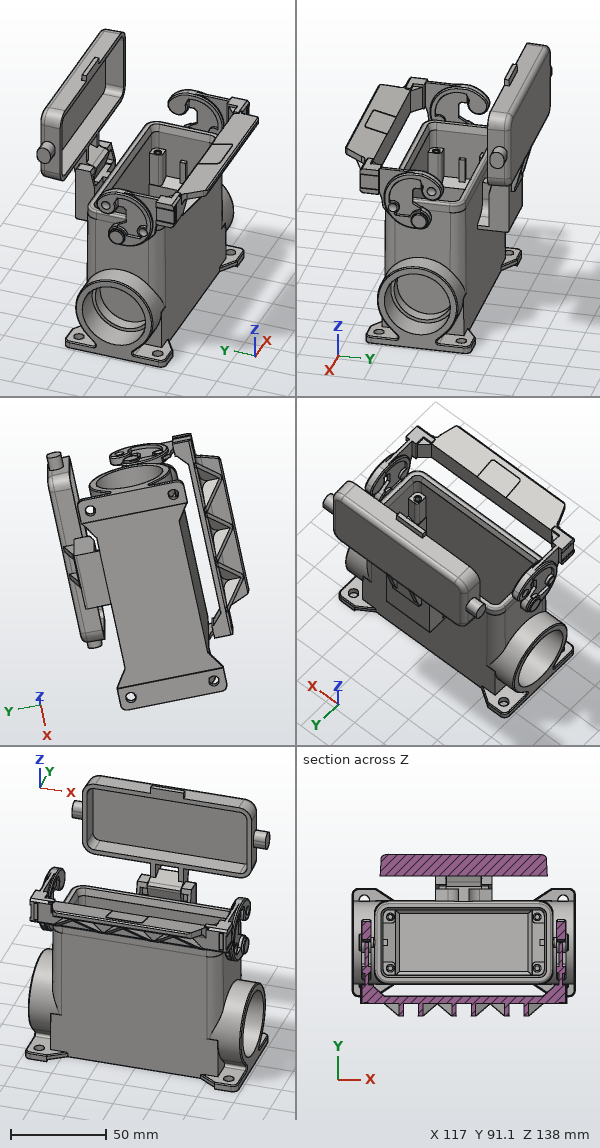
import cadquery as cq
import math


BODY_HALF_X = 46.6
BODY_HALF_Y = 21.5
BODY_TOP = 80.7
BODY_BOTTOM = 1.2
BODY_CORNER = 7.0
BODY_DRAFT = 0.43
RIM_HEIGHT = 4.9
RIM_DRAFT = 1.0
RIM_EDGE_RADIUS = 1.1
BASE_HALF_X = 46.1
DRAFT_SLOPE = math.tan(math.radians(BODY_DRAFT))

ENTRY_RADIUS = 21.75
ENTRY_Z = 25.9
ENTRY_END = 58.5
ENTRY_START = 39.0
BORE_RADIUS = 17.8
BORE_DEPTH = 14.1
KNOCKOUT_RADIUS = 16.0
KNOCKOUT_DEPTH = 21.0
EAR_HALF_Y = 28.4
EAR_TOP = 3.9
EAR_CORNER = 3.3
EAR_INNER_X = 35.6
EAR_CHAMFER = 0.6
EAR_HOLE_X = 52.1
EAR_HOLE_Y = 22.2
EAR_HOLE_RADIUS = 2.7
NECK_RADIUS = 1.2

MOUTH_HALF_X = 43.4
MOUTH_HALF_Y = 18.3
CAVITY_HALF_X = 42.2
CAVITY_HALF_Y = 17.2
CAVITY_CORNER = 3.0
MOUTH_HEIGHT = 4.0
POCKET_HALF_X = 35.8
POCKET_TOP = 47.0
LEDGE_TOP = 50.0
FLOOR_BEVEL = 2.0
FLOOR_Z = 5.0
POST_INNER_X = 36.0
POST_INNER_Y = 10.2
POST_TOP = 66.4
POST_CORNER = 1.8
POST_HOLE_X = 38.5
POST_HOLE_Y = 13.45
POST_HOLE_RADIUS = 1.3
POST_SINK_RADIUS = 2.0
POST_SINK_DEPTH = 0.5
POST_HOLE_DEPTH = 12.0
KEY_HALF_WIDTH = 1.6
KEY_INNER_X = 40.0
KEY_TOP = 62.0

LID_FRONT = 34.9
LID_BACK = 46.9
LID_HALF_X = 46.6
LID_BOTTOM = 91.8
LID_TOP = 134.6
LID_CORNER = 7.2
LID_DRAFT = 2.0
LID_EDGE_RADIUS = 3.0
LID_WALL = 2.7
LID_CAVITY_DEPTH = 10.0
LID_CAVITY_CORNER = 4.0
LID_TAB_TOP = 137.99
LID_TAB_HALF_X = 9.1
LID_TAB_THICKNESS = 2.4
LID_TAB_ROOT = 3.0
LID_PIN_END = 53.2
LID_PIN_WIDTH = 7.5
LID_PIN_HEIGHT = 9.5
LID_PIN_Y = 41.65
LID_PIN_Z = 113.1

HINGE_HALF_X = 14.9
HINGE_GAP_HALF_X = 9.4
HINGE_BACK = 38.8
HINGE_FRONT = 28.0
HINGE_TOP_FRONT = 30.4
HINGE_TOP = 82.5
HINGE_BOTTOM = 51.2
HINGE_SLOPE_Z = 72.6
HINGE_CORNER = 1.2
HINGE_RIB_HALF_X = 2.8
HINGE_RIB_ARC_TOP = 63.0
HINGE_RIB_ARC_X = 8.3
HINGE_RIB_ARC_BOTTOM = 55.5
HINGE_RIB_EDGE_Z = 53.4
HINGE_SOCKET_HALF_X = 13.1
HINGE_SOCKET_BACK = 33.5
HINGE_SOCKET_BOTTOM = 73.2
HINGE_SOCKET_TOP = 79.5
HINGE_PIN_Y = 35.5
HINGE_PIN_Z = 78.0
HINGE_PIN_RADIUS = 1.8
ARM_INNER_X = 6.2
ARM_BOTTOM = 74.4
WEB_NOSE_Y = 29.3
WEB_NOSE_Z = 81.4
WEB_NOSE_HEIGHT = 1.5

LEVER_TOP = 99.9
PIVOT_Z = 72.9
PIVOT_RADIUS = 5.4
HOOK_OUTER_X = 53.5
HOOK_INNER_X = 48.5
PLATE_OUTER_X = 51.8
PLATE_INNER_X = 49.9
HOOK_Y = -3.3
HOOK_RADIUS = (LEVER_TOP - PIVOT_Z + PIVOT_RADIUS) / 2
HOOK_CHAMFER = 0.7
HOOK_Z = LEVER_TOP - HOOK_RADIUS
HOOK_RECESS_RADIUS = 13.3
HOOK_RECESS_BOTTOM = 74.3
HEAD_Y = 6.45
HEAD_Z = 90.6
HEAD_RADIUS = 5.55
HEAD_CREST_Y = 1.1
MOUTH_FLOOR_Y = -4.3
MOUTH_BEVEL = 1.6
MOUTH_LIP_Y = 0.3
SLIT_TOP = 96.2
STUD_Y = -14.5
STUD_Z = 78.7
STUD_RADIUS = 3.3
DIMPLE_RADIUS = 2.4
DIMPLE_DEPTH = 1.0
KNOB_RADIUS = 4.4
KNOB_END = 54.9
KNOB_CHAMFER = 0.5
WASHER_RADIUS = 2.7
WASHER_INNER_X = 47.4
PIVOT_PIN_RADIUS = 1.4

BAR_BACK = -22.1
BAR_FRONT = -32.0
BAR_BOTTOM = 85.8
BAR_HALF_X = 54.2
BAR_END_INNER_X = 47.2
BAR_WALL_BACK = -28.1
BAR_CORNER_DROP = 1.5
BAR_CHAMFER = 1.2
BAR_GROOVE_BOTTOM = 88.4
BAR_GROOVE_TOP = 96.5
BAR_GROOVE_DEPTH = 0.6
BAR_SLOT_X = 51.0
BAR_SLOT_WIDTH = 2.1
BAR_SLOT_DEPTH = 0.4
BAR_SLOT_MARGIN = 2.0
GRIP_FRONT = -44.22
GRIP_FRONT_Z = 102.6
GRIP_SLOPE = 0.235
GRIP_THICKNESS = 3.6
GRIP_ROOT_HALF_X = 41.5
GRIP_FRONT_HALF_X = 37.5
GRIP_CORNER = 2.5
GRIP_EDGE = 0.8
GRIP_BLEND = 2.5
GRIP_FLARE_INSET = 0.4
GRIP_PANEL_HALF_X = 10.0
GRIP_PANEL_FRONT = -40.4
GRIP_PANEL_CORNER = 1.5
GRIP_PANEL_DEPTH = 0.3
RIB_PEAK_PITCH = 27.7
RIB_PEAK_Z = 98.3
RIB_FOOT_OFFSET = 12.7
RIB_FOOT_Z = 86.2
RIB_HALF_WIDTH = 1.3


def box(x0, x1, y0, y1, z0, z1):
    """Axis-aligned block between two opposite corners."""
    return cq.Workplane("XY").box(x1 - x0, y1 - y0, z1 - z0, centered=False).translate((x0, y0, z0))


def along_x(profile, x0, x1):
    """Extrude a closed YZ outline from x0 to x1."""
    return profile.extrude(x1 - x0).translate((x0, 0, 0))


def yz_polygon(points, x0, x1):
    """Prism along X over a YZ polygon."""
    return along_x(cq.Workplane("YZ").polyline(points).close(), x0, x1)


def x_cylinder(y, z, radius, x0, x1):
    """Round bar along X."""
    return along_x(cq.Workplane("YZ").center(y, z).circle(radius), x0, x1)


def both_ends(solid):
    """A solid together with its mirror image across the YZ plane."""
    return solid.union(solid.mirror("YZ"))


def rounded_rectangle(half_x, half_y, corner, z):
    """Rounded rectangle, centred on the Z axis, at a height z."""
    sketch = cq.Sketch().rect(2 * half_x, 2 * half_y).vertices().fillet(corner)
    return cq.Workplane("XY", origin=(0, 0, z)).placeSketch(sketch)


def shell_body():
    """Solid body: square-cornered base, rounded upper part and rounded rim."""
    rim_bottom = BODY_TOP - RIM_HEIGHT
    growth = (BODY_TOP - ENTRY_Z) * DRAFT_SLOPE
    base_growth = (BODY_TOP - BODY_BOTTOM) * DRAFT_SLOPE
    upper = rounded_rectangle(BODY_HALF_X + growth, BODY_HALF_Y + growth, BODY_CORNER, ENTRY_Z)
    upper = upper.extrude(rim_bottom - ENTRY_Z, taper=BODY_DRAFT)
    rim_growth = RIM_HEIGHT * DRAFT_SLOPE
    rim = rounded_rectangle(BODY_HALF_X + rim_growth, BODY_HALF_Y + rim_growth, BODY_CORNER, rim_bottom)
    rim = rim.extrude(RIM_HEIGHT, taper=RIM_DRAFT).faces(">Z").edges().fillet(RIM_EDGE_RADIUS)
    base = cq.Workplane("XY", origin=(0, 0, BODY_BOTTOM)).rect(
        2 * BASE_HALF_X, 2 * (BODY_HALF_Y + base_growth)
    )
    base = base.extrude(ENTRY_Z - BODY_BOTTOM, taper=BODY_DRAFT)
    return base.union(upper).union(rim)


def cable_entry():
    """Round entry at +X on its foot, with two mounting ears."""
    tangent = ENTRY_RADIUS * math.sqrt(0.5)
    tangent_z = ENTRY_Z - tangent
    neck_y = tangent - (tangent_z - EAR_TOP)
    profile = (
        cq.Workplane("YZ")
        .moveTo(-EAR_HALF_Y, 0)
        .lineTo(EAR_HALF_Y, 0)
        .lineTo(EAR_HALF_Y, EAR_TOP)
        .lineTo(neck_y, EAR_TOP)
        .lineTo(tangent, tangent_z)
        .threePointArc((0, ENTRY_Z + ENTRY_RADIUS), (-tangent, tangent_z))
        .lineTo(-neck_y, EAR_TOP)
        .lineTo(-EAR_HALF_Y, EAR_TOP)
        .close()
    )
    entry = along_x(profile, BASE_HALF_X, ENTRY_END)
    neck = cq.selectors.BoxSelector(
        (BASE_HALF_X, -neck_y - 1, EAR_TOP - 1), (ENTRY_END, neck_y + 1, EAR_TOP + 1)
    )
    entry = entry.edges("|X").edges(neck).fillet(NECK_RADIUS)
    entry = entry.faces(">X").edges("|Z").fillet(EAR_CORNER)
    entry = entry.faces(">X").edges("not <Z").chamfer(EAR_CHAMFER)
    entry = entry.union(x_cylinder(0, ENTRY_Z, ENTRY_RADIUS, ENTRY_START, BASE_HALF_X))
    for side in (1, -1):
        gusset = (
            cq.Workplane("XY", origin=(0, 0, BODY_BOTTOM))
            .polyline(
                [
                    (EAR_INNER_X, 0),
                    (EAR_INNER_X, side * BODY_HALF_Y),
                    (BASE_HALF_X, side * EAR_HALF_Y),
                    (BASE_HALF_X, 0),
                ]
            )
            .close()
            .extrude(EAR_TOP - BODY_BOTTOM)
        )
        slant = cq.selectors.NearestToPointSelector(
            ((EAR_INNER_X + BASE_HALF_X) / 2, side * (BODY_HALF_Y + EAR_HALF_Y) / 2, EAR_TOP)
        )
        entry = entry.union(gusset.edges(slant).chamfer(EAR_CHAMFER))
    return entry


def entry_bores():
    """Stepped blind bores of both entries; the thin end walls close them off."""
    step_x = ENTRY_END - BORE_DEPTH
    end_x = ENTRY_END - KNOCKOUT_DEPTH
    bore = x_cylinder(0, ENTRY_Z, BORE_RADIUS, step_x, ENTRY_END)
    return both_ends(bore.union(x_cylinder(0, ENTRY_Z, KNOCKOUT_RADIUS, end_x, ENTRY_END)))


def ear_holes():
    """Four vertical screw holes through the ears."""
    centres = [(i * EAR_HOLE_X, j * EAR_HOLE_Y) for i in (-1, 1) for j in (-1, 1)]
    return cq.Workplane("XY").pushPoints(centres).circle(EAR_HOLE_RADIUS).extrude(EAR_TOP)


def cavity():
    """Interior: flared mouth, straight upper part, sloping end ledges and a bevelled lower pocket."""
    mouth_draft = math.degrees(math.atan((MOUTH_HALF_X - CAVITY_HALF_X) / MOUTH_HEIGHT))
    mouth = rounded_rectangle(MOUTH_HALF_X, MOUTH_HALF_Y, CAVITY_CORNER + 1, BODY_TOP)
    mouth = mouth.extrude(-MOUTH_HEIGHT, taper=mouth_draft)
    upper = rounded_rectangle(CAVITY_HALF_X, CAVITY_HALF_Y, CAVITY_CORNER, POCKET_TOP)
    upper = upper.extrude(BODY_TOP - MOUTH_HEIGHT - POCKET_TOP)
    ledge = (
        cq.Workplane("XZ")
        .polyline(
            [
                (POCKET_HALF_X, POCKET_TOP),
                (CAVITY_HALF_X, LEDGE_TOP),
                (CAVITY_HALF_X, POCKET_TOP),
            ]
        )
        .close()
        .extrude(CAVITY_HALF_Y, both=True)
    )
    pocket = box(
        -POCKET_HALF_X, POCKET_HALF_X, -CAVITY_HALF_Y, CAVITY_HALF_Y, FLOOR_Z, POCKET_TOP
    )
    pocket = pocket.faces("<Z").edges().chamfer(FLOOR_BEVEL)
    return mouth.union(upper.cut(both_ends(ledge))).union(pocket)


def cavity_posts():
    """Four screw posts in the cavity corners and a coding key on each end wall."""
    posts = cq.Workplane("XY")
    for i in (-1, 1):
        key_x = sorted((i * KEY_INNER_X, i * (CAVITY_HALF_X + 1)))
        posts = posts.union(box(*key_x, -KEY_HALF_WIDTH, KEY_HALF_WIDTH, POCKET_TOP, KEY_TOP))
        for j in (-1, 1):
            xs = sorted((i * POST_INNER_X, i * (CAVITY_HALF_X + 1)))
            ys = sorted((j * POST_INNER_Y, j * (CAVITY_HALF_Y + 1)))
            post = box(*xs, *ys, POCKET_TOP, POST_TOP)
            inner = cq.selectors.NearestToPointSelector(
                (i * POST_INNER_X, j * POST_INNER_Y, (POCKET_TOP + POST_TOP) / 2)
            )
            post = post.edges("|Z").edges(inner).fillet(POST_CORNER)
            hole = cq.Workplane("XY", origin=(i * POST_HOLE_X, j * POST_HOLE_Y, POST_TOP))
            post = post.cut(hole.circle(POST_HOLE_RADIUS).extrude(-POST_HOLE_DEPTH))
            post = post.cut(hole.circle(POST_SINK_RADIUS).extrude(-POST_SINK_DEPTH))
            posts = posts.union(post)
    return posts


def lid():
    """Shallow cap, open toward -Y, with a top tab and two oblong side pins."""
    height = LID_TOP - LID_BOTTOM
    mid_z = (LID_TOP + LID_BOTTOM) / 2
    outer = cq.Sketch().rect(2 * LID_HALF_X, height).vertices().fillet(LID_CORNER)
    front = cq.Workplane("XZ", origin=(0, LID_FRONT, mid_z))
    cap = front.placeSketch(outer).extrude(-(LID_BACK - LID_FRONT), taper=LID_DRAFT)
    cap = cap.faces(">Y").edges().fillet(LID_EDGE_RADIUS)
    cap = cap.union(
        yz_polygon(
            [
                (LID_FRONT, LID_TOP - LID_WALL),
                (LID_FRONT, LID_TAB_TOP),
                (LID_FRONT + LID_TAB_THICKNESS, LID_TAB_TOP),
                (LID_FRONT + LID_TAB_ROOT, LID_TOP - LID_WALL),
            ],
            -LID_TAB_HALF_X,
            LID_TAB_HALF_X,
        )
    )
    pins = cq.Workplane("YZ").center(LID_PIN_Y, LID_PIN_Z).slot2D(LID_PIN_HEIGHT, LID_PIN_WIDTH, 90)
    cap = cap.union(along_x(pins, -LID_PIN_END, LID_PIN_END))
    inner = cq.Sketch().rect(2 * (LID_HALF_X - LID_WALL), height - 2 * LID_WALL)
    inner = inner.vertices().fillet(LID_CAVITY_CORNER)
    return cap.cut(front.placeSketch(inner).extrude(-LID_CAVITY_DEPTH))


def lid_arms():
    """Two hinge arms under the lid, joined by a nosed web and carried on the hinge pin."""
    arm = yz_polygon(
        [
            (LID_FRONT, LID_BOTTOM + 1),
            (LID_FRONT, ARM_BOTTOM),
            (40.3, ARM_BOTTOM),
            (41.2, 76.3),
            (46.2, 94.5),
            (44.0, 94.5),
            (44.0, LID_BOTTOM + 1),
        ],
        ARM_INNER_X,
        LID_TAB_HALF_X,
    )
    web = yz_polygon(
        [
            (WEB_NOSE_Y, WEB_NOSE_Z - WEB_NOSE_HEIGHT),
            (WEB_NOSE_Y, WEB_NOSE_Z),
            (31.7, 82.3),
            (40.5, 86.0),
            (40.5, HINGE_SLOPE_Z),
            (31.3, HINGE_SLOPE_Z),
        ],
        -LID_TAB_HALF_X,
        LID_TAB_HALF_X,
    )
    pin = x_cylinder(HINGE_PIN_Y, HINGE_PIN_Z, HINGE_PIN_RADIUS, -HINGE_HALF_X + 1, HINGE_HALF_X - 1)
    return both_ends(arm).union(web).union(pin)


def hinge_bracket():
    """Forked bracket on the back of the body with a flared centre rib."""
    block = yz_polygon(
        [
            (HINGE_BACK, HINGE_BOTTOM),
            (HINGE_BACK, HINGE_TOP),
            (HINGE_TOP_FRONT, HINGE_TOP),
            (HINGE_FRONT, HINGE_SLOPE_Z),
            (HINGE_FRONT, HINGE_BOTTOM),
        ],
        -HINGE_HALF_X,
        HINGE_HALF_X,
    )
    block = block.faces(">Y").edges("|X").fillet(HINGE_CORNER)
    gap = box(
        -HINGE_GAP_HALF_X, HINGE_GAP_HALF_X, HINGE_FRONT, HINGE_BACK, HINGE_SLOPE_Z, HINGE_TOP
    )
    rib = (
        cq.Workplane("XZ")
        .moveTo(0, HINGE_BOTTOM)
        .lineTo(0, HINGE_SLOPE_Z)
        .lineTo(HINGE_RIB_HALF_X, HINGE_SLOPE_Z)
        .lineTo(HINGE_RIB_HALF_X, HINGE_RIB_ARC_TOP)
        .tangentArcPoint((HINGE_RIB_ARC_X, HINGE_RIB_ARC_BOTTOM), relative=False)
        .lineTo(HINGE_HALF_X, HINGE_RIB_EDGE_Z)
        .lineTo(HINGE_HALF_X, HINGE_BOTTOM)
        .close()
        .extrude(-(HINGE_FRONT - BODY_HALF_Y + 1))
        .translate((0, BODY_HALF_Y - 1, 0))
    )
    sockets = box(
        -HINGE_SOCKET_HALF_X, HINGE_SOCKET_HALF_X,
        HINGE_FRONT, HINGE_SOCKET_BACK,
        HINGE_SOCKET_BOTTOM, HINGE_SOCKET_TOP,
    )
    return block.cut(gap).cut(sockets).union(both_ends(rib))


def hook_outline():
    """C-shaped side outline of the lever hook around its pivot."""
    tangent_angle = math.radians(60)
    left = (PIVOT_RADIUS * math.cos(tangent_angle), PIVOT_Z + PIVOT_RADIUS * math.sin(tangent_angle))
    mouth_slope = 1 / math.tan(tangent_angle)
    mouth_bottom = left[1] + (left[0] - MOUTH_FLOOR_Y) * mouth_slope
    head_exit = math.radians(150)
    head_entry = math.radians(40)
    return (
        cq.Workplane("YZ")
        .moveTo(HOOK_Y, LEVER_TOP)
        .threePointArc((HOOK_Y - HOOK_RADIUS, HOOK_Z), (HOOK_Y, HOOK_Z - HOOK_RADIUS))
        .lineTo(0, PIVOT_Z - PIVOT_RADIUS)
        .threePointArc((PIVOT_RADIUS, PIVOT_Z), left)
        .lineTo(MOUTH_FLOOR_Y, mouth_bottom)
        .lineTo(MOUTH_FLOOR_Y, HEAD_Z - MOUTH_BEVEL)
        .lineTo(MOUTH_FLOOR_Y + MOUTH_BEVEL, HEAD_Z)
        .lineTo(MOUTH_LIP_Y, HEAD_Z)
        .lineTo(MOUTH_LIP_Y, SLIT_TOP)
        .lineTo(HEAD_Y + HEAD_RADIUS * math.cos(head_exit), HEAD_Z + HEAD_RADIUS * math.sin(head_exit))
        .threePointArc(
            (HEAD_Y, HEAD_Z - HEAD_RADIUS),
            (HEAD_Y + HEAD_RADIUS * math.cos(head_entry), HEAD_Z + HEAD_RADIUS * math.sin(head_entry)),
        )
        .tangentArcPoint((HEAD_CREST_Y, LEVER_TOP), relative=False)
        .close()
    )


def lever_side():
    """Hook at +X: thin plate with a thick rim, pivot knob and two dimpled studs."""
    hook = along_x(hook_outline(), HOOK_INNER_X, HOOK_OUTER_X)
    hook = hook.faces("<X or >X").edges("%CIRCLE").chamfer(HOOK_CHAMFER)
    recess = x_cylinder(HOOK_Y, HOOK_Z, HOOK_RECESS_RADIUS, HOOK_INNER_X, HOOK_OUTER_X)
    recess = recess.intersect(
        box(
            HOOK_INNER_X, HOOK_OUTER_X,
            HOOK_Y - HOOK_RADIUS, MOUTH_LIP_Y,
            HOOK_RECESS_BOTTOM, LEVER_TOP,
        )
    )
    recess = recess.cut(x_cylinder(0, PIVOT_Z, PIVOT_RADIUS, HOOK_INNER_X, HOOK_OUTER_X))
    recess = recess.cut(x_cylinder(STUD_Y, STUD_Z, STUD_RADIUS, HOOK_INNER_X, HOOK_OUTER_X))
    plate = along_x(hook_outline(), PLATE_INNER_X, PLATE_OUTER_X)
    arm = yz_polygon(
        [
            (HOOK_Y, LEVER_TOP),
            (BAR_BACK, LEVER_TOP),
            (BAR_BACK, BAR_BOTTOM),
            (-20.9, 82.5),
            (-20.2, 77.5),
            (-16.5, 73.3),
            (-9.0, HOOK_RECESS_BOTTOM),
        ],
        PLATE_INNER_X,
        PLATE_OUTER_X,
    )
    side = hook.cut(recess).union(plate).union(arm)
    knob = x_cylinder(0, PIVOT_Z, KNOB_RADIUS, HOOK_OUTER_X, KNOB_END)
    side = side.union(knob.faces(">X").edges().chamfer(KNOB_CHAMFER))
    side = side.union(x_cylinder(0, PIVOT_Z, WASHER_RADIUS, WASHER_INNER_X, HOOK_INNER_X))
    side = side.union(x_cylinder(0, PIVOT_Z, PIVOT_PIN_RADIUS, MOUTH_HALF_X + 1, WASHER_INNER_X))
    sphere_radius = (DIMPLE_RADIUS**2 + DIMPLE_DEPTH**2) / (2 * DIMPLE_DEPTH)
    sphere_x = HOOK_OUTER_X + sphere_radius - DIMPLE_DEPTH
    for y, z in ((HEAD_Y, HEAD_Z), (STUD_Y, STUD_Z)):
        side = side.cut(cq.Workplane("XY").sphere(sphere_radius).translate((sphere_x, y, z)))
    return side


def grip_surface(y):
    """Height of the sloping top of the grip at a given Y."""
    return GRIP_FRONT_Z - GRIP_SLOPE * (y - GRIP_FRONT)


def lever_bar():
    """Cross wall of the lever between two end blocks, bevelled along its front edges."""
    wall = box(-BAR_END_INNER_X, BAR_END_INNER_X, BAR_FRONT, BAR_WALL_BACK, BAR_BOTTOM, LEVER_TOP)
    end = box(BAR_END_INNER_X, BAR_HALF_X, BAR_FRONT, BAR_BACK, BAR_BOTTOM, LEVER_TOP)
    groove_x = BAR_HALF_X - BAR_GROOVE_DEPTH
    end = end.cut(box(groove_x, BAR_HALF_X, BAR_FRONT, BAR_BACK, BAR_GROOVE_BOTTOM, BAR_GROOVE_TOP))
    slot_end = BAR_SLOT_X + BAR_SLOT_WIDTH / 2
    end = end.cut(
        box(
            slot_end - BAR_SLOT_WIDTH, slot_end,
            BAR_FRONT, BAR_FRONT + BAR_SLOT_DEPTH,
            BAR_BOTTOM + BAR_SLOT_MARGIN, LEVER_TOP - BAR_SLOT_MARGIN,
        )
    )
    corner = (
        cq.Workplane("XY", origin=(0, 0, BAR_BOTTOM))
        .polyline(
            [
                (BAR_END_INNER_X, BAR_BACK - 1),
                (BAR_END_INNER_X, BAR_WALL_BACK),
                (GRIP_ROOT_HALF_X, BAR_WALL_BACK),
            ]
        )
        .close()
        .extrude(LEVER_TOP - BAR_CORNER_DROP - BAR_BOTTOM)
    )
    bar = wall.union(both_ends(end.union(corner)))
    bar = bar.faces("<Y").edges("<Z or >Z").chamfer(BAR_CHAMFER)
    slope = yz_polygon(
        [
            (BAR_WALL_BACK, grip_surface(BAR_WALL_BACK)),
            (BAR_WALL_BACK, GRIP_FRONT_Z),
            (BAR_FRONT, GRIP_FRONT_Z),
            (BAR_FRONT, grip_surface(BAR_FRONT)),
        ],
        -GRIP_ROOT_HALF_X,
        GRIP_ROOT_HALF_X,
    )
    return bar.cut(slope)


def panel_layer():
    """Thin sloping layer just under the top of the grip."""
    return yz_polygon(
        [
            (BAR_WALL_BACK, grip_surface(BAR_WALL_BACK)),
            (GRIP_FRONT, GRIP_FRONT_Z),
            (GRIP_FRONT, GRIP_FRONT_Z - GRIP_PANEL_DEPTH),
            (BAR_WALL_BACK, grip_surface(BAR_WALL_BACK) - GRIP_PANEL_DEPTH),
        ],
        -BAR_HALF_X,
        BAR_HALF_X,
    )


def grip_root():
    """Concave blend between the underside of the grip and the front of the bar."""
    blend_end = BAR_FRONT - GRIP_BLEND
    arc_inset = GRIP_BLEND * (1 - math.sqrt(0.5))
    arc_middle = (BAR_FRONT - arc_inset, grip_surface(BAR_FRONT) - GRIP_THICKNESS - arc_inset)
    profile = (
        cq.Workplane("YZ")
        .moveTo(BAR_FRONT, grip_surface(BAR_FRONT) - GRIP_THICKNESS - GRIP_BLEND)
        .threePointArc(arc_middle, (blend_end, grip_surface(blend_end) - GRIP_THICKNESS))
        .lineTo(blend_end, grip_surface(blend_end) - GRIP_EDGE)
        .lineTo(BAR_FRONT, grip_surface(BAR_FRONT) - GRIP_EDGE)
        .close()
    )
    root_half_x = GRIP_ROOT_HALF_X + GRIP_BLEND / 2
    return along_x(profile, -root_half_x, root_half_x)


def lever_grip():
    """Sloping finger grip with flared roots and a bevelled front lip."""
    flare_x = GRIP_ROOT_HALF_X + GRIP_BLEND
    flare_y = BAR_FRONT - GRIP_BLEND
    flare_end = GRIP_ROOT_HALF_X - GRIP_FLARE_INSET
    flare_middle = (GRIP_ROOT_HALF_X + GRIP_FLARE_INSET, BAR_FRONT - GRIP_FLARE_INSET)
    half = (
        cq.Workplane("XY", origin=(0, 0, BAR_BOTTOM))
        .moveTo(0, BAR_FRONT + 1)
        .lineTo(flare_x, BAR_FRONT + 1)
        .lineTo(flare_x, BAR_FRONT)
        .threePointArc(flare_middle, (flare_end, flare_y))
        .lineTo(GRIP_FRONT_HALF_X, GRIP_FRONT)
        .lineTo(0, GRIP_FRONT)
        .close()
        .extrude(LEVER_TOP)
    )
    plan = both_ends(half).faces("<Y").edges("|Z").fillet(GRIP_CORNER)
    bevel_y = GRIP_FRONT + GRIP_EDGE
    slab = yz_polygon(
        [
            (BAR_FRONT + 1, grip_surface(BAR_FRONT + 1)),
            (bevel_y, grip_surface(bevel_y)),
            (GRIP_FRONT, GRIP_FRONT_Z - GRIP_EDGE),
            (GRIP_FRONT, GRIP_FRONT_Z - GRIP_THICKNESS + GRIP_EDGE),
            (bevel_y, grip_surface(bevel_y) - GRIP_THICKNESS),
            (BAR_FRONT + 1, grip_surface(BAR_FRONT + 1) - GRIP_THICKNESS),
        ],
        -BAR_HALF_X,
        BAR_HALF_X,
    )
    grip = slab.intersect(plan)
    return grip.union(grip_root().intersect(plan))


def thumb_panel():
    """Shallow round-cornered recess in the top of the grip, open at the back."""
    panel = box(
        -GRIP_PANEL_HALF_X, GRIP_PANEL_HALF_X,
        GRIP_PANEL_FRONT, BAR_WALL_BACK,
        BAR_BOTTOM, GRIP_FRONT_Z,
    )
    panel = panel.faces("<Y").edges("|Z").fillet(GRIP_PANEL_CORNER)
    return panel.intersect(panel_layer())


def grip_ribs():
    """Zigzag ribs running from the foot of the bar up to the underside of the grip."""
    ribs = cq.Workplane("XY")
    for peak in (-RIB_PEAK_PITCH, 0, RIB_PEAK_PITCH):
        for side in (-1, 1):
            foot = peak + side * RIB_FOOT_OFFSET
            rib = (
                cq.Workplane("XZ", origin=(0, BAR_FRONT + 1, 0))
                .polyline(
                    [
                        (foot - RIB_HALF_WIDTH, RIB_FOOT_Z),
                        (foot + RIB_HALF_WIDTH, RIB_FOOT_Z),
                        (peak + RIB_HALF_WIDTH, RIB_PEAK_Z),
                        (peak - RIB_HALF_WIDTH, RIB_PEAK_Z),
                    ]
                )
                .close()
                .extrude(BAR_FRONT + 1 - GRIP_FRONT)
            )
            ribs = ribs.union(rib)
    rib_space = yz_polygon(
        [
            (BAR_FRONT + 1, RIB_FOOT_Z),
            (BAR_FRONT, RIB_FOOT_Z),
            (GRIP_FRONT, GRIP_FRONT_Z - GRIP_THICKNESS + GRIP_EDGE),
            (BAR_FRONT + 1, grip_surface(BAR_FRONT) - GRIP_THICKNESS + GRIP_EDGE),
        ],
        -BAR_HALF_X,
        BAR_HALF_X,
    )
    return ribs.intersect(rib_space)


housing = shell_body().union(both_ends(cable_entry())).union(hinge_bracket())
housing = housing.cut(cavity()).cut(entry_bores()).cut(ear_holes())
housing = housing.union(cavity_posts())
lever = both_ends(lever_side()).union(lever_bar()).union(lever_grip()).union(grip_ribs())
lever = lever.cut(thumb_panel())
result = housing.union(lid()).union(lid_arms()).union(lever)